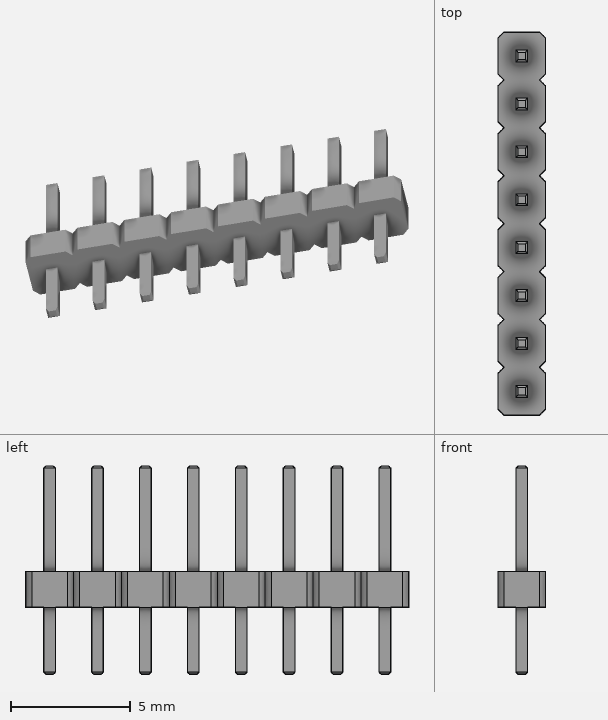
import cadquery as cq

pin_count = 8
pitch = 2.0
body_height = 1.5
corner_cut = 0.25
pin_width = 0.5
pin_above = 4.4
pin_below = 2.8
tip_chamfer = 0.1

pin_length = pin_below + body_height + pin_above
first_pin_y = -(pin_count - 1) * pitch / 2


def make_cell():
    """One insulator cell with its four vertical corners cut off."""
    return cq.Workplane("XY").rect(pitch, pitch).extrude(body_height).edges("|Z").chamfer(corner_cut)


def make_pin():
    """Square pin through the body, tapered at both ends."""
    return (
        cq.Workplane("XY")
        .workplane(offset=-pin_below)
        .rect(pin_width, pin_width)
        .extrude(pin_length)
        .faces("<Z or >Z")
        .chamfer(tip_chamfer)
    )


contact = make_cell().union(make_pin())

result = cq.Workplane("XY")
for index in range(pin_count):
    result = result.union(contact.translate((0, first_pin_y + index * pitch, 0)))